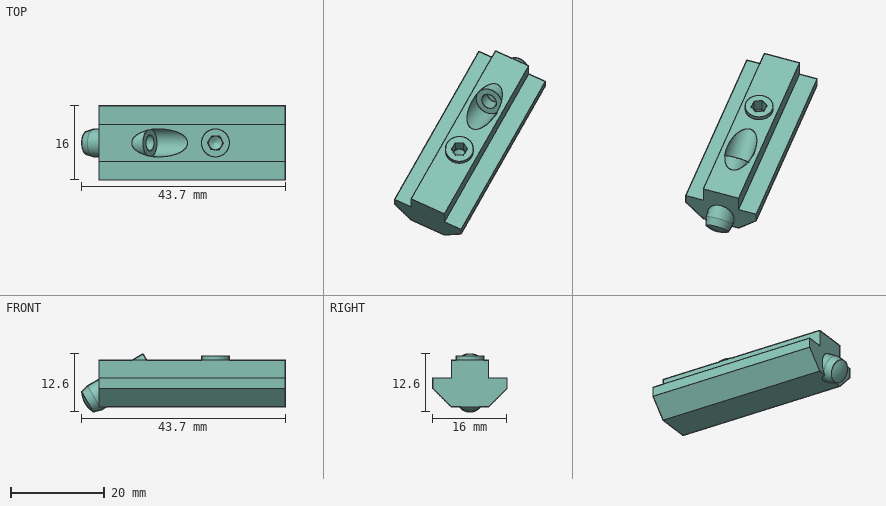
import cadquery as cq
import math

bar_length = 40.0
bar_width = 16.0
neck_width = 8.0
bevel = (bar_width - neck_width) / 2
flange_edge = 2.25
neck_height = 3.8
flange_top = bevel + flange_edge
bar_height = flange_top + neck_height

screw_radius = 6.0 / 2
socket_across_corners = 3.4
socket_depth = 3.0
drill_point_depth = 0.87

tilt = 30
bore_center_x = 13.05
head_distance = 2.4
screw_length = 15.5
tip_radius = 2.55
tip_length = 1.7
tip_dome_height = 0.6

upright_x = 25.0
upright_rise = 0.9
socket_turn = -3


def make_bar():
    profile = [
        (neck_width / 2, 0),
        (bar_width / 2, bevel),
        (bar_width / 2, flange_top),
        (neck_width / 2, flange_top),
        (neck_width / 2, bar_height),
    ]
    mirrored = [(-y, z) for y, z in reversed(profile)]
    return cq.Workplane("YZ").polyline(profile + mirrored).close().extrude(bar_length)


def axis_plane(distance):
    """Plane across the inclined axis; its normal points down towards the tip."""
    run = math.cos(math.radians(tilt))
    drop = math.sin(math.radians(tilt))
    origin = (bore_center_x - distance * run, 0, bar_height - distance * drop)
    return cq.Plane(origin=origin, xDir=(0, 1, 0), normal=(-run, 0, -drop))


def make_bore():
    """Bore from above the top face down to the head of the inclined screw."""
    above_top = 2 * screw_radius
    return cq.Workplane(axis_plane(-above_top)).circle(screw_radius).extrude(above_top + head_distance)


def make_inclined_screw():
    dome_radius = (tip_radius**2 + tip_dome_height**2) / (2 * tip_dome_height)
    mid_angle = math.asin(tip_radius / dome_radius) / 2
    dome_middle = (
        dome_radius * math.sin(mid_angle),
        screw_length + tip_dome_height - dome_radius * (1 - math.cos(mid_angle)),
    )
    head_plane = axis_plane(head_distance)
    profile_plane = cq.Plane(origin=head_plane.origin, xDir=(0, 1, 0), normal=head_plane.yDir * -1)
    return (
        cq.Workplane(profile_plane)
        .lineTo(screw_radius, 0)
        .lineTo(screw_radius, screw_length - tip_length)
        .lineTo(tip_radius, screw_length)
        .threePointArc(dome_middle, (0, screw_length + tip_dome_height))
        .close()
        .revolve(360, (0, 0, 0), (0, 1, 0))
    )


def make_inclined_socket():
    return cq.Workplane(axis_plane(head_distance)).circle(socket_across_corners / 2).extrude(socket_depth)


def add_upright_screw(body):
    head_top = bar_height + upright_rise
    head = cq.Workplane("XY", origin=(upright_x, 0, bar_height)).circle(screw_radius).extrude(upright_rise)
    socket = (
        cq.Workplane("XY", origin=(upright_x, 0, head_top))
        .transformed(rotate=(0, 0, socket_turn))
        .polygon(6, socket_across_corners)
        .extrude(-socket_depth)
    )
    drill_point = cq.Workplane(
        cq.Solid.makeCone(
            socket_across_corners * math.sqrt(3) / 4,
            0,
            drill_point_depth,
            pnt=cq.Vector(upright_x, 0, head_top - socket_depth),
            dir=cq.Vector(0, 0, -1),
        )
    )
    return body.union(head).cut(socket).cut(drill_point)


result = make_bar().cut(make_bore()).union(make_inclined_screw()).cut(make_inclined_socket())
result = add_upright_screw(result)